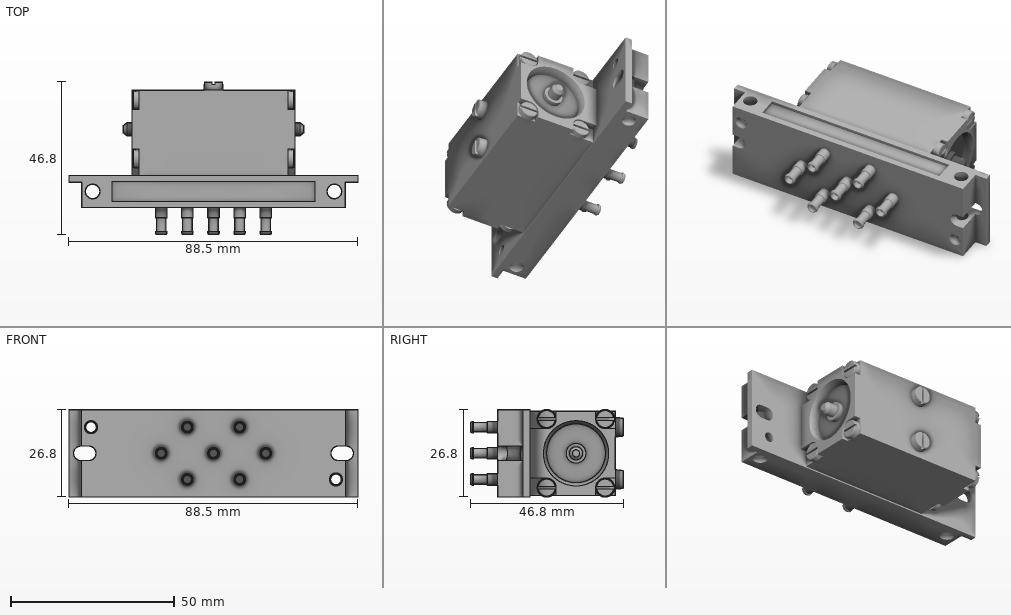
import cadquery as cq
import math


PLATE_LENGTH = 88.5
PLATE_HEIGHT = 26.8
PLATE_DEPTH = 9.9
BLOCK_LENGTH = 80.8
FLANGE_THICKNESS = 2.15
PLATE_MID_Y = -PLATE_DEPTH / 2

MOUNT_DIAMETER = 4.4
MOUNT_HOLE_X = 37.0
SLOT_INNER_X = 36.0
SLOT_OUTER_X = 42.8
TAPPED_DIAMETER = 3.24
TAPPED_RIM_DIAMETER = 4.0
TAPPED_X = 37.5
LABEL_LENGTH = 62.2
LABEL_WIDTH = 6.2
LABEL_DEPTH = 1.0

PORT_PITCH = 8.0
NIPPLE_LENGTH = 8.3
NIPPLE_COLLAR_LENGTH = 3.2
NIPPLE_RADIUS = 3.6 / 2
TUBE_RADIUS = 3.0 / 2
NIPPLE_BORE_RADIUS = 2.5 / 2
COLLAR_CHAMFER = 0.15
BARB_SETBACK = 0.95
BARB_WIDTH = 0.4

BODY_LENGTH = 50.0
BODY_DEPTH = 26.1
BODY_HEIGHT = 25.9
BODY_END_X = BODY_LENGTH / 2

END_SCREW_DIAMETER = 5.83
BACK_SCREW_DIAMETER = 6.0
SCREW_SLOT_WIDTH = 0.8
SCREW_SLOT_DEPTH = 0.8
SCREW_SHOULDER_DIAMETER = 5.6
SCREW_EDGE_CHAMFER = 0.2
BACK_SCREW_HEIGHT = 2.5
BACK_SCREW_Z = PORT_PITCH
END_SCREW_HEIGHT = 1.9
END_SCREW_Z = 10.5
FRONT_SCREW_Y = 5.1
REAR_SCREW_Y = 23.0

NOTCH_DEPTH = 2.15
NOTCH_RADIUS = END_SCREW_DIAMETER / 2
NOTCH_FLOOR_Z = END_SCREW_Z - NOTCH_RADIUS

PLUNGER_Y = 14.1
RECESS_RADIUS = 20.0 / 2
RECESS_FLOOR_RADIUS = 18.0 / 2
RECESS_DEPTH = 2.8
PLUNGER_COLLAR_RADIUS = 6.0 / 2
PLUNGER_COLLAR_HEIGHT = 1.5
PLUNGER_RADIUS = 4.0 / 2
PLUNGER_TIP_RADIUS = 2.2 / 2
PLUNGER_PROJECTION = 2.65
PLUNGER_TIP_LENGTH = 1.1

SIDES = (-1, 1)


def revolve_about_normal(plane, profile):
    """Solid of revolution about the plane's normal from (radius, height) points."""
    turned = cq.Workplane("XZ").polyline(profile).close().revolve(360, (0, 0), (0, 1))
    return cq.Workplane(obj=turned.val().moved(cq.Location(plane)))


def end_plane(side, x, y, z):
    """Plane facing out of one body end, with its x axis along Y."""
    return cq.Plane(origin=(side * x, y, z), xDir=(0, 1, 0), normal=(side, 0, 0))


def slotted_head(plane, diameter, height):
    """Slightly tapered screw head with a chamfered rim and a slot along the plane's x axis."""
    shoulder_radius = SCREW_SHOULDER_DIAMETER / 2
    profile = [
        (0, 0),
        (diameter / 2, 0),
        (shoulder_radius, height - SCREW_EDGE_CHAMFER),
        (shoulder_radius - SCREW_EDGE_CHAMFER, height),
        (0, height),
    ]
    head = revolve_about_normal(plane, profile)
    slot = (
        cq.Workplane(plane)
        .workplane(offset=height - SCREW_SLOT_DEPTH)
        .rect(2 * diameter, SCREW_SLOT_WIDTH)
        .extrude(2 * SCREW_SLOT_DEPTH)
    )
    return head.cut(slot)


def make_plate():
    """Block with a thin flange tab at each end, and all its openings."""
    plate = cq.Workplane("XY").box(BLOCK_LENGTH, PLATE_DEPTH, PLATE_HEIGHT).translate((0, PLATE_MID_Y, 0))
    flange = cq.Workplane("XY").box(PLATE_LENGTH, FLANGE_THICKNESS, PLATE_HEIGHT)
    plate = plate.union(flange.translate((0, -FLANGE_THICKNESS / 2, 0)))

    mount_holes = (
        cq.Workplane("XY", origin=(0, PLATE_MID_Y, -PLATE_HEIGHT / 2))
        .pushPoints([(side * MOUNT_HOLE_X, 0) for side in SIDES])
        .circle(MOUNT_DIAMETER / 2)
        .extrude(PLATE_HEIGHT)
    )
    slot_middle = (SLOT_INNER_X + SLOT_OUTER_X) / 2
    slots = (
        cq.Workplane("XZ")
        .pushPoints([(side * slot_middle, 0) for side in SIDES])
        .slot2D(SLOT_OUTER_X - SLOT_INNER_X, MOUNT_DIAMETER)
        .extrude(PLATE_DEPTH)
    )
    plate = plate.cut(mount_holes).cut(slots)

    for side in SIDES:
        plate = plate.cut(make_tapped_hole(side * TAPPED_X, -side * PORT_PITCH))

    label_pocket = cq.Workplane("XY").box(LABEL_LENGTH, LABEL_WIDTH, 2 * LABEL_DEPTH)
    return plate.cut(label_pocket.translate((0, PLATE_MID_Y, PLATE_HEIGHT / 2)))


def make_tapped_hole(x, z):
    """Through hole along Y with a 45 degree countersunk rim on the front face."""
    radius = TAPPED_DIAMETER / 2
    rim_radius = TAPPED_RIM_DIAMETER / 2
    plane = cq.Plane(origin=(x, 0, z), xDir=(1, 0, 0), normal=(0, -1, 0))
    profile = [
        (0, 0),
        (radius, 0),
        (radius, PLATE_DEPTH - (rim_radius - radius)),
        (rim_radius, PLATE_DEPTH),
        (0, PLATE_DEPTH),
    ]
    return revolve_about_normal(plane, profile)


def make_nipple(x, z):
    """Hose nipple: collar, tube, and a barb that tapers to the open tip.

    The bore ends at the plate face.
    """
    plane = cq.Plane(origin=(x, -PLATE_DEPTH, z), xDir=(1, 0, 0), normal=(0, -1, 0))
    barb_start = NIPPLE_LENGTH - BARB_SETBACK
    profile = [
        (NIPPLE_BORE_RADIUS, 0),
        (NIPPLE_RADIUS, 0),
        (NIPPLE_RADIUS, NIPPLE_COLLAR_LENGTH - COLLAR_CHAMFER),
        (NIPPLE_RADIUS - COLLAR_CHAMFER, NIPPLE_COLLAR_LENGTH),
        (TUBE_RADIUS, NIPPLE_COLLAR_LENGTH),
        (TUBE_RADIUS, barb_start),
        (NIPPLE_RADIUS, barb_start),
        (NIPPLE_RADIUS, barb_start + BARB_WIDTH),
        (TUBE_RADIUS, NIPPLE_LENGTH),
        (NIPPLE_BORE_RADIUS, NIPPLE_LENGTH),
    ]
    return revolve_about_normal(plane, profile)


def make_notch(side, level, screw_y, open_y):
    """Corner notch: its inner corner is an arc about the screw, and it runs out to open_y."""
    wall_y = screw_y + math.copysign(NOTCH_RADIUS, screw_y - open_y)
    arc_step = math.copysign(NOTCH_RADIUS * math.sqrt(0.5), screw_y - open_y)
    arc_middle = (screw_y + arc_step, level * (END_SCREW_Z - abs(arc_step)))
    top_z = level * BODY_HEIGHT / 2
    floor_z = level * NOTCH_FLOOR_Z
    return (
        cq.Workplane(end_plane(side, BODY_END_X, 0, 0))
        .moveTo(open_y, top_z)
        .lineTo(open_y, floor_z)
        .lineTo(screw_y, floor_z)
        .threePointArc(arc_middle, (wall_y, level * END_SCREW_Z))
        .lineTo(wall_y, top_z)
        .close()
        .extrude(-NOTCH_DEPTH)
    )


def make_body():
    """Rectangular valve body with corner notches and a recess in each end."""
    body = cq.Workplane("XY").box(BODY_LENGTH, BODY_DEPTH, BODY_HEIGHT).translate((0, BODY_DEPTH / 2, 0))
    for side in SIDES:
        for level in SIDES:
            body = body.cut(make_notch(side, level, FRONT_SCREW_Y, 0))
            body = body.cut(make_notch(side, level, REAR_SCREW_Y, BODY_DEPTH))
        recess_profile = [
            (0, -RECESS_DEPTH),
            (RECESS_FLOOR_RADIUS, -RECESS_DEPTH),
            (RECESS_RADIUS, 0),
            (0, 0),
        ]
        body = body.cut(revolve_about_normal(end_plane(side, BODY_END_X, PLUNGER_Y, 0), recess_profile))
    return body


def make_plunger(side):
    """Stepped plunger with a conical tip, standing on the recess floor."""
    length = RECESS_DEPTH + PLUNGER_PROJECTION
    profile = [
        (0, 0),
        (PLUNGER_COLLAR_RADIUS, 0),
        (PLUNGER_COLLAR_RADIUS, PLUNGER_COLLAR_HEIGHT),
        (PLUNGER_RADIUS, PLUNGER_COLLAR_HEIGHT),
        (PLUNGER_RADIUS, length - PLUNGER_TIP_LENGTH),
        (PLUNGER_TIP_RADIUS, length),
        (0, length),
    ]
    return revolve_about_normal(end_plane(side, BODY_END_X - RECESS_DEPTH, PLUNGER_Y, 0), profile)


def add_screws(part):
    """Four screws in the notches of each body end and two on the back face."""
    for level in SIDES:
        for side in SIDES:
            for y in (FRONT_SCREW_Y, REAR_SCREW_Y):
                plane = end_plane(side, BODY_END_X - NOTCH_DEPTH, y, level * END_SCREW_Z)
                part = part.union(slotted_head(plane, END_SCREW_DIAMETER, END_SCREW_HEIGHT))
        back_plane = cq.Plane(origin=(0, BODY_DEPTH, level * BACK_SCREW_Z), xDir=(0, 0, 1), normal=(0, 1, 0))
        part = part.union(slotted_head(back_plane, BACK_SCREW_DIAMETER, BACK_SCREW_HEIGHT))
    return part


PORTS = [(step * PORT_PITCH, 0) for step in (-2, 0, 2)]
PORTS += [(column * PORT_PITCH, row * PORT_PITCH) for row in SIDES for column in SIDES]

result = make_plate().union(make_body())
for side in SIDES:
    result = result.union(make_plunger(side))
result = add_screws(result)
for port_x, port_z in PORTS:
    result = result.union(make_nipple(port_x, port_z))